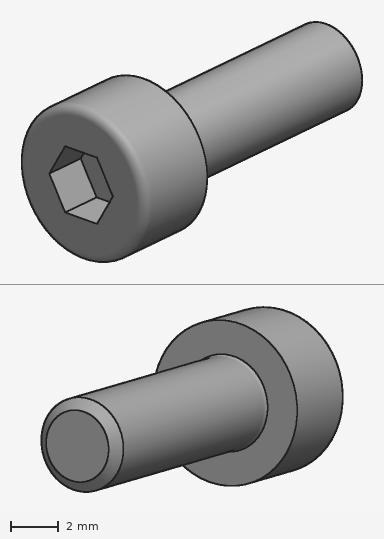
import cadquery as cq
import math

total_length = 16.0
head_diameter = 7.0
head_height = 4.0
shank_diameter = 4.0
shank_length = total_length - head_height

head_edge_radius = 0.4
tip_chamfer_length = 0.4
tip_chamfer_depth = 0.48
neck_fillet_length = 0.2
neck_fillet_flare = 0.06
neck_bulge = 0.02

socket_across_flats = 3.04
socket_depth = 2.0

head_radius = head_diameter / 2
shank_radius = shank_diameter / 2


def make_head():
    head = cq.Workplane("XZ").circle(head_radius).extrude(head_height)
    return head.faces("<Y").edges().fillet(head_edge_radius)


def make_shank():
    """Revolve the half profile of the shank, with its flared neck and chamfered tip."""
    neck_middle = (shank_radius + neck_fillet_flare / 2 - neck_bulge, neck_fillet_length / 2)
    return (
        cq.Workplane("XY")
        .lineTo(shank_radius + neck_fillet_flare, 0)
        .threePointArc(neck_middle, (shank_radius, neck_fillet_length))
        .lineTo(shank_radius, shank_length - tip_chamfer_length)
        .lineTo(shank_radius - tip_chamfer_depth, shank_length)
        .lineTo(0, shank_length)
        .close()
        .revolve(360, (0, 0, 0), (0, 1, 0))
    )


def make_socket():
    """Hexagonal socket with corners pointing along X."""
    across_corners = socket_across_flats / math.cos(math.pi / 6)
    return (
        cq.Workplane("XZ", origin=(0, -head_height, 0))
        .polygon(6, across_corners)
        .extrude(-socket_depth)
    )


result = make_head().union(make_shank()).cut(make_socket())